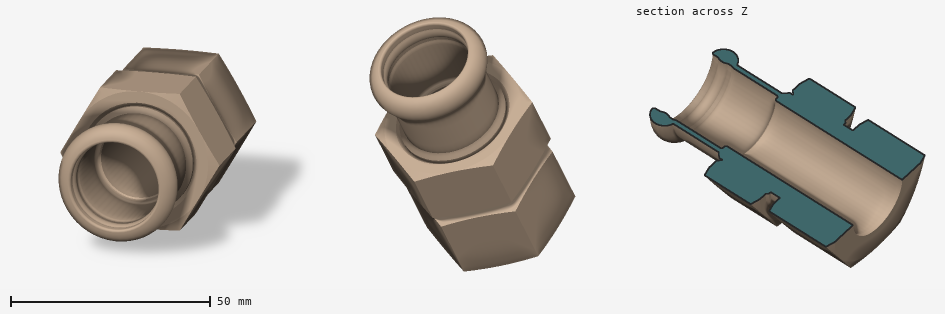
import cadquery as cq
import math


tube_outer_diameter = 25.3
socket_diameter = 22.3
lip_diameter = 22.9
socket_depth = 22.0
socket_corner_radius = 0.65
through_bore_diameter = 19.3
bore_mouth_diameter = 20.0

bead_diameter = 30.8
bead_section_radius = 3.75
lip_round_radius = 0.6
seal_crest_diameter = 22.0
seal_half_width = 1.6
lip_blend_start = 6.4
lip_blend_end = 7.7

bead_center_radius = bead_diameter / 2 - bead_section_radius
lip_round_center_radius = lip_diameter / 2 + lip_round_radius
center_distance = bead_section_radius - lip_round_radius
rim_sine = (lip_round_center_radius - bead_center_radius) / center_distance
rim_cosine = math.sqrt(1 - rim_sine**2)
rim_radius = bead_center_radius + bead_section_radius * rim_sine
bead_center_y = bead_section_radius * rim_cosine
lip_round_center_y = lip_round_radius * rim_cosine

shoulder_diameter = 28.0
shoulder_start = 22.0

union_across_flats = 36.0
union_start = 23.4
union_end = 40.0
union_countersink_diameter = 30.0
countersink_end = union_start + (union_countersink_diameter - shoulder_diameter) / 2
collar_tip_diameter = 30.4
collar_length = 0.6

neck_diameter = 29.0
end_nut_across_flats = 34.0
end_nut_length = 20.0
overall_length = 63.5
end_nut_start = overall_length - end_nut_length

hex_chamfer_angle = 15.0


def cylinder(diameter, start, end):
    """Solid cylinder on the Y axis between two Y positions."""
    return cq.Workplane("XZ", origin=(0, start, 0)).circle(diameter / 2).extrude(start - end)


def revolved(profile):
    """Solid of revolution about Y from an open (radius, Y) profile, closed along the axis."""
    return profile.close().revolve(360, (0, 0, 0), (0, 1, 0))


def cone(start_diameter, end_diameter, start, end):
    """Solid truncated cone on the Y axis."""
    profile = (
        cq.Workplane("XY")
        .moveTo(0, start)
        .lineTo(start_diameter / 2, start)
        .lineTo(end_diameter / 2, end)
        .lineTo(0, end)
    )
    return revolved(profile)


def hex_nut(across_flats, start, end):
    """Hexagon with corners on X, both ends turned to a shallow cone."""
    corner_radius = across_flats / math.sqrt(3)
    corner_drop = (corner_radius - across_flats / 2) * math.tan(math.radians(hex_chamfer_angle))
    hexagon = (
        cq.Workplane("XZ", origin=(0, start, 0))
        .polygon(6, 2 * corner_radius)
        .extrude(start - end)
    )
    turned_profile = (
        cq.Workplane("XY")
        .moveTo(0, start)
        .lineTo(across_flats / 2, start)
        .lineTo(corner_radius, start + corner_drop)
        .lineTo(corner_radius, end - corner_drop)
        .lineTo(across_flats / 2, end)
        .lineTo(0, end)
    )
    return hexagon.intersect(revolved(turned_profile))


def pressed_tube():
    """Solid tube with the round bead at its end and the shoulder at its root."""
    tube_radius = tube_outer_diameter / 2
    shoulder_radius = shoulder_diameter / 2
    shoulder_end = shoulder_start + shoulder_radius - tube_radius
    bead_front_y = bead_center_y - bead_section_radius
    bead_back_y = bead_center_y + math.sqrt(bead_section_radius**2 - (tube_radius - bead_center_radius) ** 2)
    profile = (
        cq.Workplane("XY")
        .moveTo(0, bead_front_y)
        .lineTo(bead_center_radius, bead_front_y)
        .threePointArc((bead_diameter / 2, bead_center_y), (tube_radius, bead_back_y))
        .lineTo(tube_radius, shoulder_start)
        .lineTo(shoulder_radius, shoulder_end)
        .lineTo(shoulder_radius, countersink_end)
        .lineTo(0, countersink_end)
    )
    return revolved(profile)


def socket_bore():
    """Cutter for the lip, seal ridge, socket and through bore."""
    lip_radius = lip_diameter / 2
    socket_radius = socket_diameter / 2
    bore_radius = through_bore_diameter / 2
    mouth_radius = bore_mouth_diameter / 2

    round_middle = lip_round_radius * math.sqrt(0.5)

    blend_length = lip_blend_end - lip_blend_start
    blend_step = lip_radius - socket_radius
    blend_radius = (blend_step**2 + blend_length**2) / (2 * blend_step)
    blend_middle_y = (lip_blend_start + lip_blend_end) / 2
    blend_middle_rise = blend_radius - math.sqrt(blend_radius**2 - (blend_length / 2) ** 2)

    corner_start_y = socket_depth - socket_corner_radius
    corner_inset = socket_corner_radius * (1 - math.sqrt(0.5))

    profile = (
        cq.Workplane("XY")
        .moveTo(0, -lip_round_radius)
        .lineTo(rim_radius, -lip_round_radius)
        .lineTo(rim_radius, 0)
        .threePointArc(
            (lip_round_center_radius - round_middle, lip_round_center_y - round_middle),
            (lip_radius, lip_round_center_y),
        )
        .lineTo(lip_radius, bead_center_y - seal_half_width)
        .threePointArc(
            (seal_crest_diameter / 2, bead_center_y),
            (lip_radius, bead_center_y + seal_half_width),
        )
        .lineTo(lip_radius, lip_blend_start)
        .threePointArc(
            (socket_radius + blend_middle_rise, blend_middle_y),
            (socket_radius, lip_blend_end),
        )
        .lineTo(socket_radius, corner_start_y)
        .threePointArc(
            (socket_radius - corner_inset, socket_depth - corner_inset),
            (socket_radius - socket_corner_radius, socket_depth),
        )
        .lineTo(mouth_radius, socket_depth)
        .lineTo(bore_radius, socket_depth + mouth_radius - bore_radius)
        .lineTo(bore_radius, overall_length)
        .lineTo(0, overall_length)
    )
    return revolved(profile)


collar_base_diameter = collar_tip_diameter + 2 * collar_length
body = hex_nut(union_across_flats, union_start, union_end)
body = body.union(cone(collar_base_diameter, collar_tip_diameter, union_end, union_end + collar_length))
body = body.cut(cone(union_countersink_diameter, shoulder_diameter, union_start, countersink_end))

body = body.union(cylinder(neck_diameter, union_end, end_nut_start))
body = body.union(hex_nut(end_nut_across_flats, end_nut_start, overall_length))

body = body.union(pressed_tube())
result = body.cut(socket_bore())